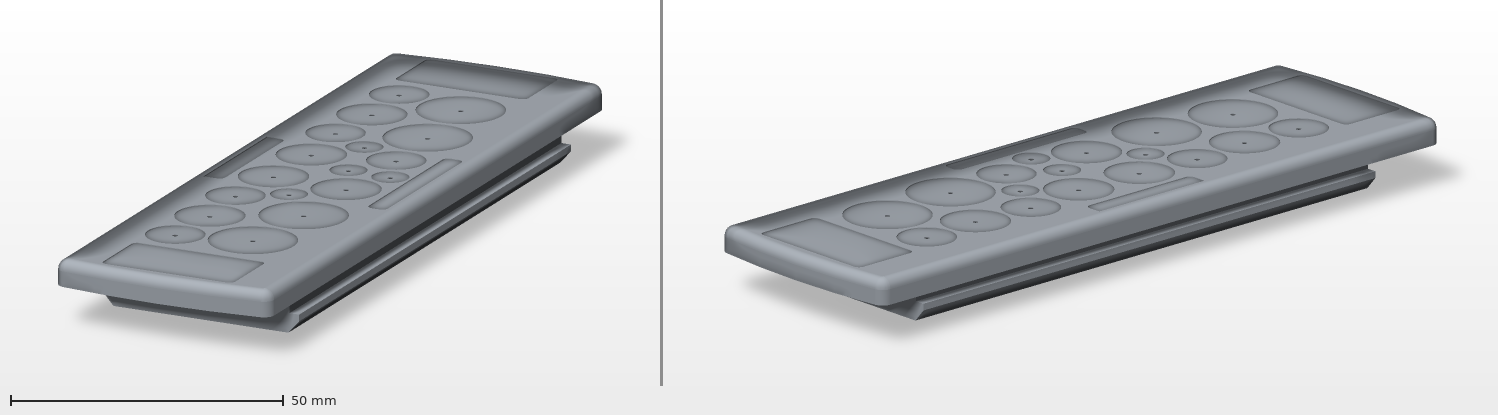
import cadquery as cq

PLATE_WIDTH = 43.97
PLATE_LENGTH = 141.72
END_BOW = 1.5
PLATE_THICKNESS = 5.0
CORNER_RADIUS = 2.1
TOP_EDGE_RADIUS = 2.0

TOTAL_HEIGHT = 12.0
FOOT_LENGTH = 112.5
NECK_WIDTH = 36.2
NECK_OFFSET_X = 1.4
FLANGE_OVERHANG = 2.0
FLANGE_TOP = 3.8
CHAMFER_WIDTH = 2.2
CHAMFER_HEIGHT = 2.5

PLATE_BOTTOM = TOTAL_HEIGHT - PLATE_THICKNESS

MARK_DEPTH = 0.2

LABEL_WIDTH = 27.0
LABEL_INNER_Y = 53.65
LABEL_OUTER_Y = 67.65
LABEL_CORNER_RADIUS = 1.2

SIDE_FIELD_WIDTH = 3.9
SIDE_FIELD_OUTER_X = 19.4
LEFT_FIELD_LENGTH = 26.2
RIGHT_FIELD_LENGTH = 32.8
SIDE_FIELD_CORNER_RADIUS = 1.2

POINT_DIAMETER = 1.0
POINT_DEPTH = 0.5
TINY, SMALL, MEDIUM, LARGE = 7.0, 11.1, 13.1, 16.6

MIRRORED_ENTRIES = [
    (SMALL, -8.75, 46.3),
    (MEDIUM, -8.0, 33.5),
    (SMALL, -9.1, 20.7),
    (LARGE, 5.5, 43.0),
    (LARGE, 7.3, 25.65),
    (TINY, -0.67, 15.6),
]
SINGLE_ENTRIES = [
    (MEDIUM, -7.4, 7.25),
    (MEDIUM, -7.9, -7.4),
    (SMALL, 8.1, 11.0),
    (TINY, 2.8, 2.0),
    (TINY, 11.5, 1.7),
    (MEDIUM, 7.4, -8.3),
]


def make_plate():
    half_width = PLATE_WIDTH / 2
    end_y = PLATE_LENGTH / 2
    corner_y = end_y - END_BOW
    return (
        cq.Workplane("XY", origin=(0, 0, PLATE_BOTTOM))
        .moveTo(-half_width, -corner_y)
        .threePointArc((0, -end_y), (half_width, -corner_y))
        .lineTo(half_width, corner_y)
        .threePointArc((0, end_y), (-half_width, corner_y))
        .close()
        .extrude(PLATE_THICKNESS)
        .edges("|Z")
        .fillet(CORNER_RADIUS)
        .faces(">Z")
        .edges()
        .fillet(TOP_EDGE_RADIUS)
    )


def make_foot():
    neck_x = NECK_WIDTH / 2
    flange_x = neck_x + FLANGE_OVERHANG
    base_x = flange_x - CHAMFER_WIDTH
    right_side = [
        (base_x, 0),
        (flange_x, CHAMFER_HEIGHT),
        (flange_x, FLANGE_TOP),
        (neck_x, FLANGE_TOP),
        (neck_x, PLATE_BOTTOM),
    ]
    left_side = [(-x, z) for x, z in reversed(right_side)]
    return (
        cq.Workplane("XZ")
        .polyline(right_side + left_side)
        .close()
        .extrude(FOOT_LENGTH / 2, both=True)
        .translate((NECK_OFFSET_X, 0, 0))
    )


def recess_block(width, length, x, y):
    """Cutter for a rectangular field, reaching MARK_DEPTH into the top face."""
    return cq.Workplane("XY", origin=(x, y, TOTAL_HEIGHT - MARK_DEPTH)).rect(width, length).extrude(MARK_DEPTH)


def label_cutter(side):
    length = LABEL_OUTER_Y - LABEL_INNER_Y
    centre_y = side * (LABEL_OUTER_Y + LABEL_INNER_Y) / 2
    return recess_block(LABEL_WIDTH, length, 0, centre_y).edges("|Z").fillet(LABEL_CORNER_RADIUS)


def side_field_cutter(side, length, corners):
    centre_x = side * (SIDE_FIELD_OUTER_X - SIDE_FIELD_WIDTH / 2)
    block = recess_block(SIDE_FIELD_WIDTH, length, centre_x, 0)
    return block.edges(corners).fillet(SIDE_FIELD_CORNER_RADIUS)


def round_cutter(diameter, x, y, depth):
    return cq.Workplane("XY", origin=(x, y, TOTAL_HEIGHT)).circle(diameter / 2).extrude(-depth)


def cut_cable_entries(body):
    entries = SINGLE_ENTRIES + MIRRORED_ENTRIES + [(d, x, -y) for d, x, y in MIRRORED_ENTRIES]
    for diameter, x, y in entries:
        body = body.cut(round_cutter(diameter, x, y, MARK_DEPTH))
        body = body.cut(round_cutter(POINT_DIAMETER, x, y, MARK_DEPTH + POINT_DEPTH))
    return body


body = make_plate().union(make_foot())
for end in (1, -1):
    body = body.cut(label_cutter(end))
body = body.cut(side_field_cutter(-1, LEFT_FIELD_LENGTH, "|Z and >X"))
body = body.cut(side_field_cutter(1, RIGHT_FIELD_LENGTH, "|Z"))
result = cut_cable_entries(body)